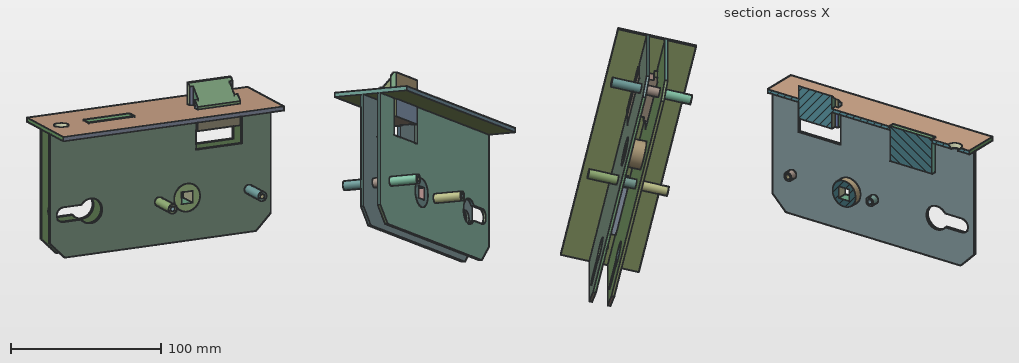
import cadquery as cq


plate_length = 165.0
plate_width = 53.5
plate_thickness = 3.0

case_width = 14.5
cheek_thickness = 2.0
case_depth = 90.0
corner_chamfer = 11.0

latch_y = 43.5
latch_length = 32.0
latch_width = 15.5
latch_rise = 15.0
latch_drop = 15.0
latch_tip_width = 2.0
latch_low_edge = 1.8
latch_groove_width = 7.5
latch_groove_depth = 2.5
window_y = 43.9
window_length = 34.5
window_depth = 27.9

bolt_y = -34.8
bolt_length = 34.5
bolt_width = 7.5
bolt_rise = 0.5
bolt_drop = 25.7
bolt_side_gap = 0.3

screw_y = -70.5
screw_diameter = 5.3
countersink_diameter = 10.0
countersink_angle = 90

axis_z = -60.0
follower_y = 20.0
follower_diameter = 19.3
follower_hole_diameter = 19.5
spindle_width = 8.2
post_positions_y = [66.0, -1.0]
post_z = -60.2
post_length = 54.5
post_diameter = 6.5
post_bore = 3.3
keyhole_y = -52.1
keyhole_diameter = 17.2
keyhole_slot_width = 10.2
keyhole_end_y = -77.5

inner_width = case_width - 2 * cheek_thickness


def block(x_size, y_size, z_bottom, z_top, y_center=0.0):
    """Rectangular block centred on X = 0."""
    height = z_top - z_bottom
    center_z = (z_top + z_bottom) / 2
    return cq.Workplane("XY").box(x_size, y_size, height).translate((0, y_center, center_z))


def cross_rod(diameter, length, y_center, z_center=axis_z):
    """Cylinder along X, centred on X = 0 at the given height."""
    start = cq.Workplane("YZ", origin=(-length / 2, y_center, z_center))
    return start.circle(diameter / 2).extrude(length)


def make_faceplate():
    plate = block(plate_width, plate_length, -plate_thickness, 0)
    plate = (
        plate.faces(">Z").workplane(origin=(0, screw_y, 0))
        .cskHole(screw_diameter, countersink_diameter, countersink_angle)
    )
    slot_width = bolt_width + 2 * bolt_side_gap
    return plate.cut(block(slot_width, bolt_length, -plate_thickness, 0, bolt_y))


def make_keyhole_cutter():
    """Euro cylinder opening: a round barrel with a round-ended slot towards -Y."""
    slot_end_center = keyhole_end_y + keyhole_slot_width / 2
    slot_length = keyhole_y - slot_end_center
    slot_center = (keyhole_y + slot_end_center) / 2
    slot = cq.Workplane("XY").box(case_width, slot_length, keyhole_slot_width)
    slot = slot.translate((0, slot_center, axis_z))
    slot = slot.union(cross_rod(keyhole_slot_width, case_width, slot_end_center))
    return slot.union(cross_rod(keyhole_diameter, case_width, keyhole_y))


def make_cheeks():
    cheeks = block(case_width, plate_length, -case_depth, -plate_thickness)
    cheeks = cheeks.faces("<Z").edges("|X").chamfer(corner_chamfer)
    cheeks = cheeks.cut(block(inner_width, plate_length, -case_depth, -plate_thickness))
    cheeks = cheeks.cut(block(case_width, window_length, -window_depth, -plate_thickness, window_y))
    cheeks = cheeks.cut(cross_rod(follower_hole_diameter, case_width, follower_y))
    return cheeks.cut(make_keyhole_cutter())


def make_latch_nose():
    """Bevelled nose through the faceplate, grooved along Z at both ends."""
    half_width = latch_width / 2
    nose = (
        cq.Workplane("XZ")
        .moveTo(-half_width, -latch_drop)
        .lineTo(half_width, -latch_drop)
        .lineTo(half_width, latch_low_edge)
        .lineTo(-half_width + latch_tip_width, latch_rise)
        .lineTo(-half_width, latch_rise)
        .close()
        .extrude(latch_length / 2, both=True)
        .translate((0, latch_y, 0))
    )
    groove_offset = (latch_length - latch_groove_depth) / 2
    for side in (-1, 1):
        groove_y = latch_y + side * groove_offset
        nose = nose.cut(block(latch_groove_width, latch_groove_depth, -latch_drop, latch_rise, groove_y))
    return nose


def make_case():
    case = make_faceplate().union(make_cheeks()).union(make_latch_nose())
    for post_y in post_positions_y:
        case = case.union(cross_rod(post_diameter, post_length, post_y, post_z))
        case = case.cut(cross_rod(post_bore, post_length, post_y, post_z))
    return case


def make_dead_bolt():
    return block(bolt_width, bolt_length, -bolt_drop, bolt_rise, bolt_y)


def make_follower():
    """Round follower flush with the cheeks, with a square spindle hole."""
    follower = cross_rod(follower_diameter, case_width, follower_y)
    spindle = cq.Workplane("XY").box(case_width, spindle_width, spindle_width)
    return follower.cut(spindle.translate((0, follower_y, axis_z)))


case = make_case().solids()
dead_bolt = make_dead_bolt().solids()
follower = make_follower().solids()

result = cq.Compound.makeCompound([case.val(), dead_bolt.val(), follower.val()])